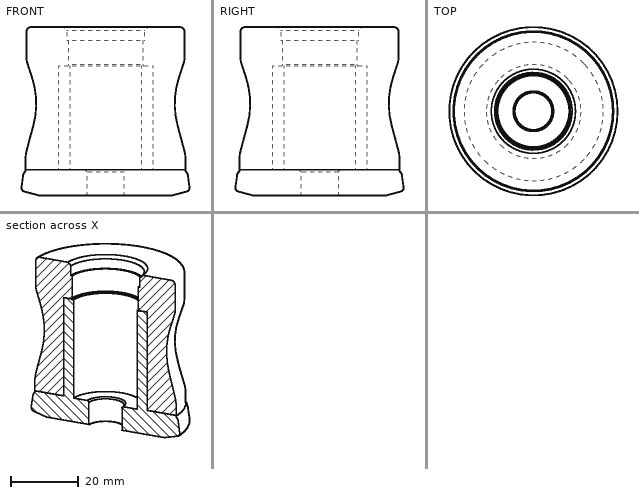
import cadquery as cq
import math

total_height = 50.0
flange_height = 7.6

rim_radius = 23.5
rim_top_fillet = 1.5
rim_blend_radius = 5.0
upper_cone_angle = math.radians(18)
waist_radius = 20.6
waist_z = 27.2
waist_arc_radius = 25.0
lower_cone_angle = math.radians(15)
skirt_blend_radius = 10.0
skirt_radius = 23.8

mouth_radius = 11.5
mouth_chamfer = 1.0
mouth_depth = 4.0
throat_radius = 11.0
throat_depth = 11.0
throat_relief_depth = 0.5
throat_relief_width = 0.25
tube_outer_radius = 14.0

tube_bore_radius = 10.6
tube_top_z = total_height - throat_depth - throat_relief_depth
floor_z = flange_height
drain_radius = 5.5
drain_chamfer = 0.5

flange_radius = 25.0
foot_radius = 19.8
foot_angle = math.radians(15)
flange_edge_radius = 1.2
flange_draft = math.radians(8.5)
draft_change_z = 4.8
upper_draft = math.radians(6.5)
shoulder_bottom_z = 5.9
shoulder_radius = 1.8
shoulder_bands = 6
shoulder_top_slope = math.radians(45)


def arc_point(center, radius, angle):
    """Point on a circle in the (r, z) half plane, angle measured from +r."""
    return (center[0] + radius * math.cos(angle), center[1] + radius * math.sin(angle))


def revolve(profile):
    """Turn a closed (r, z) profile about the Z axis."""
    return profile.close().revolve(360, (0, 0, 0), (0, 1, 0))


def make_grip():
    waist_center = (waist_radius + waist_arc_radius, waist_z)
    waist_top = arc_point(waist_center, waist_arc_radius, math.pi - upper_cone_angle)
    waist_bottom = arc_point(waist_center, waist_arc_radius, math.pi + lower_cone_angle)

    rim_center_r = rim_radius - rim_blend_radius
    rim_cone_r = rim_center_r + rim_blend_radius * math.cos(upper_cone_angle)
    rim_cone_z = waist_top[1] + (rim_cone_r - waist_top[0]) / math.tan(upper_cone_angle)
    rim_center = (rim_center_r, rim_cone_z + rim_blend_radius * math.sin(upper_cone_angle))

    skirt_center_r = skirt_radius - skirt_blend_radius
    skirt_cone_r = skirt_center_r + skirt_blend_radius * math.cos(lower_cone_angle)
    skirt_cone_z = waist_bottom[1] - (skirt_cone_r - waist_bottom[0]) / math.tan(lower_cone_angle)
    skirt_center = (skirt_center_r, skirt_cone_z - skirt_blend_radius * math.sin(lower_cone_angle))

    top_fillet_center = (rim_radius - rim_top_fillet, total_height - rim_top_fillet)
    mouth_z = total_height - mouth_depth
    throat_z = total_height - throat_depth

    profile = (
        cq.Workplane("XZ")
        .moveTo(tube_outer_radius, flange_height)
        .lineTo(skirt_radius, flange_height)
        .lineTo(skirt_radius, skirt_center[1])
        .threePointArc(
            arc_point(skirt_center, skirt_blend_radius, lower_cone_angle / 2),
            (skirt_cone_r, skirt_cone_z),
        )
        .lineTo(*waist_bottom)
        .threePointArc((waist_radius, waist_z), waist_top)
        .lineTo(rim_cone_r, rim_cone_z)
        .threePointArc(
            arc_point(rim_center, rim_blend_radius, -upper_cone_angle / 2),
            (rim_radius, rim_center[1]),
        )
        .lineTo(rim_radius, top_fillet_center[1])
        .threePointArc(
            arc_point(top_fillet_center, rim_top_fillet, math.pi / 4),
            (top_fillet_center[0], total_height),
        )
        .lineTo(mouth_radius + mouth_chamfer, total_height)
        .lineTo(mouth_radius, total_height - mouth_chamfer)
        .lineTo(mouth_radius, mouth_z)
        .lineTo(throat_radius, mouth_z)
        .lineTo(throat_radius, throat_z)
        .lineTo(throat_radius + throat_relief_width, tube_top_z)
        .lineTo(tube_outer_radius, tube_top_z)
    )
    return revolve(profile)


def make_base():
    edge_center_r = flange_radius - flange_edge_radius
    edge_foot_r = edge_center_r + flange_edge_radius * math.sin(foot_angle)
    edge_foot_z = (edge_foot_r - foot_radius) * math.tan(foot_angle)
    edge_center = (edge_center_r, edge_foot_z + flange_edge_radius * math.cos(foot_angle))
    edge_top = arc_point(edge_center, flange_edge_radius, flange_draft)

    draft_change_r = edge_top[0] - (draft_change_z - edge_top[1]) * math.tan(flange_draft)
    shoulder_bottom_r = draft_change_r - (shoulder_bottom_z - draft_change_z) * math.tan(upper_draft)

    shoulder_center = (
        shoulder_bottom_r - shoulder_radius * math.cos(upper_draft),
        shoulder_bottom_z - shoulder_radius * math.sin(upper_draft),
    )
    shoulder_top = arc_point(shoulder_center, shoulder_radius, shoulder_top_slope)

    root_radius = (shoulder_top[0] - skirt_radius) / (1 - math.cos(shoulder_top_slope))
    root_z = shoulder_top[1] + root_radius * math.sin(shoulder_top_slope)
    root_center = (skirt_radius + root_radius, root_z)
    root_middle = arc_point(root_center, root_radius, math.pi + shoulder_top_slope / 2)

    profile = (
        cq.Workplane("XZ")
        .moveTo(drain_radius, 0)
        .lineTo(foot_radius, 0)
        .lineTo(edge_foot_r, edge_foot_z)
        .threePointArc((flange_radius, edge_center[1]), edge_top)
        .lineTo(draft_change_r, draft_change_z)
        .lineTo(shoulder_bottom_r, shoulder_bottom_z)
    )

    band_angle = (shoulder_top_slope - upper_draft) / shoulder_bands
    for band in range(1, shoulder_bands + 1):
        angle = upper_draft + band * band_angle
        profile = profile.lineTo(*arc_point(shoulder_center, shoulder_radius, angle))

    profile = (
        profile.threePointArc(root_middle, (skirt_radius, root_z))
        .lineTo(skirt_radius, flange_height)
        .lineTo(tube_outer_radius, flange_height)
        .lineTo(tube_outer_radius, tube_top_z)
        .lineTo(tube_bore_radius, tube_top_z)
        .lineTo(tube_bore_radius, floor_z)
        .lineTo(drain_radius + drain_chamfer, floor_z)
        .lineTo(drain_radius, floor_z - drain_chamfer)
    )
    return revolve(profile)


grip = make_grip()
base = make_base()
result = cq.Compound.makeCompound([grip.val(), base.val()])